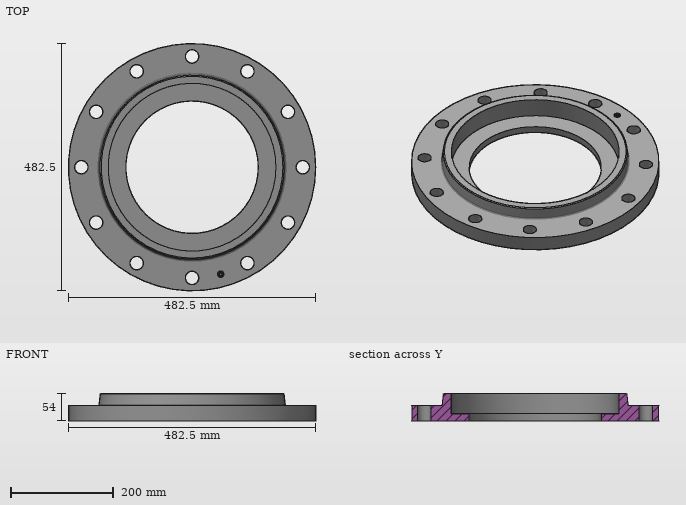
import cadquery as cq
import math

flange_diameter = 482.5
flange_thickness = 30.5
bore_diameter = 257.5

total_height = 54.0
hub_base_radius = 182.0
hub_top_radius = 179.5
hub_top_chamfer_width = 2.5
hub_top_chamfer_height = 1.5
hub_root_fillet = 1.5

recess_diameter = 327.0
recess_floor_height = 14.5

bolt_count = 12
bolt_circle_diameter = 432.0
bolt_hole_diameter = 25.5
bolt_pitch_angle = 360 / bolt_count

spot_step_diameters = [12.5, 9.5, 5.0]
spot_step_depth = 0.5
spot_angle = -90 + bolt_pitch_angle / 2


def make_body():
    """Revolve the half section of flange, hub, recess and bore about Z."""
    flange_radius = flange_diameter / 2
    bore_radius = bore_diameter / 2
    recess_radius = recess_diameter / 2
    root_radius = hub_base_radius + hub_root_fillet
    fillet_top = flange_thickness + hub_root_fillet
    fillet_offset = hub_root_fillet * (1 - math.sqrt(0.5))
    fillet_middle = (hub_base_radius + fillet_offset, flange_thickness + fillet_offset)
    section = (
        cq.Workplane("XZ")
        .moveTo(bore_radius, 0)
        .lineTo(flange_radius, 0)
        .lineTo(flange_radius, flange_thickness)
        .lineTo(root_radius, flange_thickness)
        .threePointArc(fillet_middle, (hub_base_radius, fillet_top))
        .lineTo(hub_top_radius, total_height - hub_top_chamfer_height)
        .lineTo(hub_top_radius - hub_top_chamfer_width, total_height)
        .lineTo(recess_radius, total_height)
        .lineTo(recess_radius, recess_floor_height)
        .lineTo(bore_radius, recess_floor_height)
        .close()
    )
    return section.revolve(360, (0, 0, 0), (0, 1, 0))


def make_bolt_holes():
    """Through holes evenly spaced on the bolt circle, one of them on the X axis."""
    return (
        cq.Workplane("XY")
        .polarArray(bolt_circle_diameter / 2, 0, 360, bolt_count)
        .circle(bolt_hole_diameter / 2)
        .extrude(flange_thickness)
    )


def make_stepped_spot():
    """Concentric steps sunk into the top face of the flange."""
    angle = math.radians(spot_angle)
    radius = bolt_circle_diameter / 2
    centre = (radius * math.cos(angle), radius * math.sin(angle))
    spot = cq.Workplane("XY")
    for step, diameter in enumerate(spot_step_diameters, start=1):
        depth = step * spot_step_depth
        disc = (
            cq.Workplane("XY")
            .workplane(offset=flange_thickness - depth)
            .center(*centre)
            .circle(diameter / 2)
            .extrude(depth)
        )
        spot = spot.add(disc)
    return spot.combine()


result = make_body().cut(make_bolt_holes()).cut(make_stepped_spot())